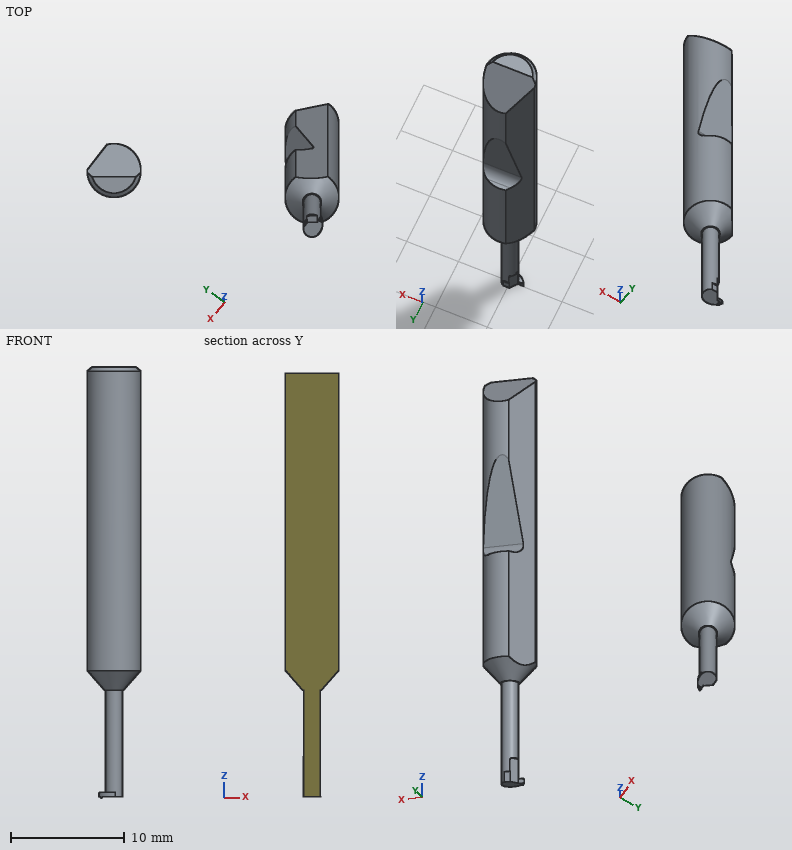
import cadquery as cq
import math

length = 38.1
shank_radius = 2.38
end_chamfer = 0.38
shank_bottom = 11.27
flat_ratio = 0.8
flat_angle = 142.0

slant_bottom = 35.15

notch_top = 30.15
notch_bottom = 21.1
notch_slope = 9.3
notch_fillet = 0.88

neck_radius = 0.75
neck_top = 9.52
cone_end_radius = 0.85
tip_base = 0.1
relief_height = 2.35
relief_corner = 0.3
rear_relief_y = 0.7
rear_relief_height = 1.05
tooth_reach = 1.35
tooth_top = 0.55
tooth_end_x = 0.1
tooth_corner = 0.1
tooth_flank = (-0.9, -0.5)
point_x = -1.1


def make_body():
    """Chamfered shank, cone and neck turned about Z."""
    profile = [
        (0, tip_base),
        (neck_radius, tip_base),
        (neck_radius, neck_top),
        (cone_end_radius, neck_top),
        (shank_radius, shank_bottom),
        (shank_radius, length - end_chamfer),
        (shank_radius - end_chamfer, length),
        (0, length),
    ]
    return cq.Workplane("XZ").polyline(profile).close().revolve(360, (0, 0), (0, 1))


def side_flat(radius, bottom, top):
    """Block beyond a flat facing -X and +Y, at a fixed share of the radius."""
    chord = 2 * radius * math.sqrt(1 - flat_ratio**2)
    block = cq.Workplane("XY").box(radius, chord, top - bottom, centered=(False, True, False))
    return block.translate((flat_ratio * radius, 0, bottom))


def face_flat(block):
    """Turn a block from the +X side to the direction of the flats."""
    return block.rotate((0, 0, 0), (0, 0, 1), flat_angle)


def across_x(points):
    """Prism of a Y-Z outline running through the whole shank along X."""
    return cq.Workplane("YZ").polyline(points).close().extrude(shank_radius, both=True)


def make_slant():
    """45 degree cut through the top, rising toward -Y."""
    rise = length - slant_bottom
    return across_x([
        (shank_radius, slant_bottom),
        (shank_radius, length),
        (shank_radius - rise, length),
    ])


def make_notch():
    """Sloped notch with a rounded inner corner."""
    depth = (notch_top - notch_bottom) * math.tan(math.radians(notch_slope))
    inner_y = shank_radius - depth
    notch = across_x([
        (shank_radius, notch_top),
        (inner_y, notch_bottom),
        (shank_radius, notch_bottom),
    ])
    inner_edge = cq.selectors.NearestToPointSelector((0, inner_y, notch_bottom))
    return notch.edges(inner_edge).fillet(notch_fillet)


def make_tip_relief():
    """Flat on the neck end beside the tooth, with one rounded upper corner."""
    relief = side_flat(neck_radius, tip_base, relief_height)
    relief = relief.edges("|X and <Y and >Z").fillet(relief_corner)
    return face_flat(relief)


def make_rear_relief():
    """Shallow flat on the +Y side of the neck end."""
    return (
        cq.Workplane("XY")
        .box(2 * neck_radius, neck_radius, rear_relief_height, centered=(True, False, False))
        .translate((0, rear_relief_y, 0))
    )


def make_tooth():
    """Hooked tooth toward -X with a curved flank and a small point below."""
    plan = (
        cq.Workplane("XY")
        .moveTo(-tooth_reach, 0)
        .lineTo(tooth_end_x, 0)
        .lineTo(tooth_end_x, -neck_radius)
        .threePointArc(tooth_flank, (-tooth_reach, 0))
        .close()
        .extrude(tooth_top)
    )
    side_profile = (
        cq.Workplane("XZ")
        .polyline([
            (-tooth_reach, tip_base),
            (-tooth_reach, tooth_top - tooth_corner),
            (-tooth_reach + tooth_corner, tooth_top),
            (tooth_end_x, tooth_top),
            (tooth_end_x, tip_base),
            (point_x + tip_base, tip_base),
            (point_x, 0),
            (point_x - tip_base, tip_base),
        ])
        .close()
        .extrude(2 * neck_radius)
    )
    return plan.intersect(side_profile)


body = make_body()
body = body.cut(face_flat(side_flat(shank_radius, neck_top, length)))
body = body.cut(make_slant())
body = body.cut(make_notch())
body = body.cut(make_tip_relief())
body = body.cut(make_rear_relief())
result = body.union(make_tooth())